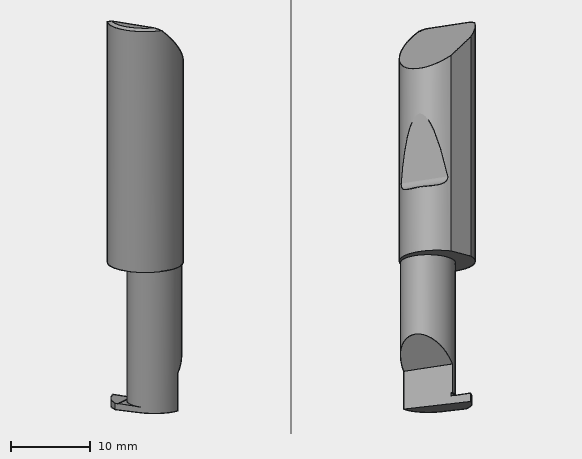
import cadquery as cq
import math

total_length = 50.8
shank_radius = 4.8
shank_bottom = 19.05
end_chamfer_radial = 0.45
end_chamfer_axial = 0.3

slant_start_y = -2.95
flat_end_y = 3.15

notch_top = 37.1
notch_bottom = 27.55
notch_depth = 1.3
notch_corner_radius = 1.2

neck_radius = 3.45
neck_x = shank_radius - neck_radius
rake_cut_bottom = 5.3

head_thickness = 1.15
tip_x = -4.65
clearance_end_x = -2.75
clearance_end_y = -3.1
clearance_bulge = 0.3
front_start_x = -2.35
hook_step_x = -1.95
hook_top = 1.1
hook_step_top = 1.5
relief_slope_x = 0.035
relief_slope_y = 0.06

cut_size = 2 * shank_radius + 1


def make_side_prism(outline):
    """Close a (y, z) outline and extrude it through the part along X."""
    return outline.close().extrude(cut_size, both=True)


def make_shank():
    profile = (
        cq.Workplane("XZ")
        .moveTo(0, shank_bottom)
        .lineTo(shank_radius, shank_bottom)
        .lineTo(shank_radius, total_length - end_chamfer_axial)
        .lineTo(shank_radius - end_chamfer_radial, total_length)
        .lineTo(0, total_length)
        .close()
    )
    shank = profile.revolve(360, (0, 0), (0, 1))

    slant_width = cut_size - slant_start_y
    slant = make_side_prism(
        cq.Workplane("YZ")
        .moveTo(slant_start_y, total_length)
        .lineTo(cut_size, total_length - slant_width)
        .lineTo(cut_size, total_length)
    )

    flat_end_x = -math.sqrt(shank_radius**2 - flat_end_y**2)
    flat = (
        cq.Workplane("XY")
        .workplane(offset=shank_bottom)
        .moveTo(-shank_radius, 0)
        .lineTo(flat_end_x, flat_end_y)
        .lineTo(-shank_radius, flat_end_y)
        .close()
        .extrude(total_length)
    )
    return shank.cut(slant).cut(flat).cut(make_notch())


def make_notch():
    """Sloping notch that ends in a quarter-round at its lower end."""
    floor_y = shank_radius - notch_depth
    arc_center_y = floor_y + notch_corner_radius
    arc_center_z = notch_bottom + notch_corner_radius
    arc_offset = notch_corner_radius * math.sqrt(0.5)
    return make_side_prism(
        cq.Workplane("YZ")
        .moveTo(shank_radius, notch_top)
        .lineTo(floor_y, arc_center_z)
        .threePointArc(
            (arc_center_y - arc_offset, arc_center_z - arc_offset),
            (arc_center_y, notch_bottom),
        )
        .lineTo(cut_size, notch_bottom)
        .lineTo(cut_size, notch_top)
    )


def make_neck():
    neck = cq.Workplane("XY").center(neck_x, 0).circle(neck_radius).extrude(shank_bottom)
    rake_cut = make_side_prism(
        cq.Workplane("YZ")
        .lineTo(0, rake_cut_bottom)
        .lineTo(cut_size, rake_cut_bottom + cut_size)
        .lineTo(cut_size, 0)
    )
    return neck.cut(rake_cut)


def make_head():
    """Hooked plate that carries the cutting edge on the rake face."""
    arc_mid_x = (tip_x + clearance_end_x) / 2 - clearance_bulge
    arc_mid_y = clearance_end_y / 2 - clearance_bulge / 2
    return (
        cq.Workplane("XY")
        .moveTo(tip_x, 0)
        .threePointArc((arc_mid_x, arc_mid_y), (clearance_end_x, clearance_end_y))
        .lineTo(front_start_x, -neck_radius)
        .lineTo(neck_x, -neck_radius)
        .lineTo(neck_x, 0)
        .close()
        .extrude(head_thickness)
    )


def make_hook_step():
    """Clearance above the hook, stepped slightly into the plate and the neck."""
    return (
        cq.Workplane("XY")
        .box(cut_size, cut_size, hook_step_top - hook_top, centered=(False, True, False))
        .translate((hook_step_x - cut_size, 0, hook_top))
    )


def make_relief():
    """Body below the end face, which rises from the tip toward +X and -Y."""
    relief_plane = cq.Plane(
        origin=(tip_x, 0, 0),
        xDir=(1, 0, relief_slope_x),
        normal=(-relief_slope_x, relief_slope_y, 1),
    )
    return cq.Workplane(relief_plane).rect(4 * cut_size, 4 * cut_size).extrude(-cut_size)


cutting_end = make_neck().union(make_head()).cut(make_hook_step()).cut(make_relief())
result = make_shank().union(cutting_end)